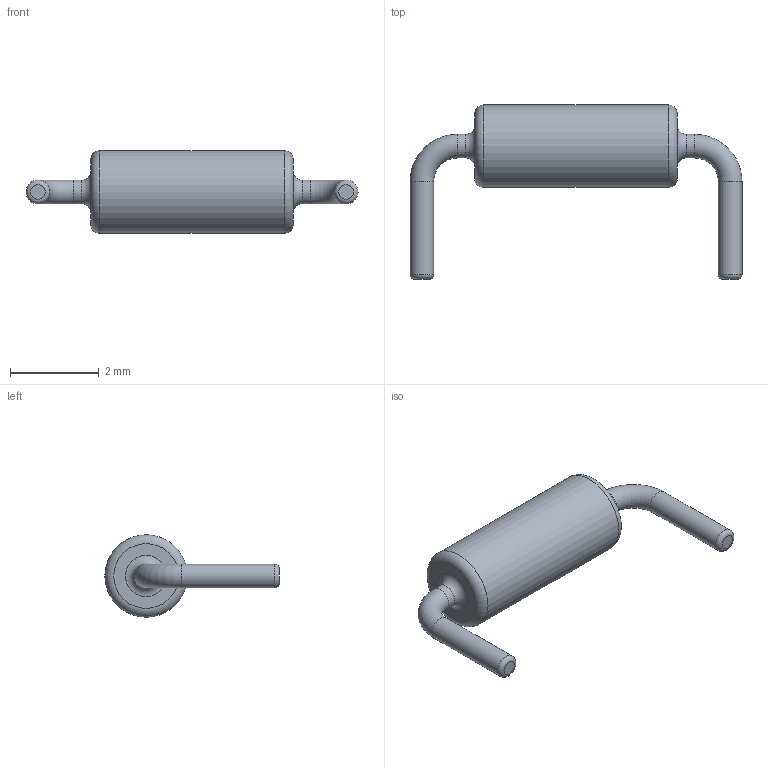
import cadquery as cq

body_length = 4.57
body_diameter = 1.86
body_edge_radius = 0.2

lead_diameter = 0.534
lead_span = 7.49
lead_bend_radius = 0.8
overall_depth = 3.93
lead_tip_radius = 0.1

collar_radius = 0.2

body_radius = body_diameter / 2
lead_radius = lead_diameter / 2
half_length = body_length / 2
lead_x = lead_span / 2 - lead_radius
lead_tip_y = body_radius - overall_depth
bend_start_x = lead_x - lead_bend_radius


def make_body():
    """Cylinder with rounded end edges."""
    cylinder = cq.Workplane("YZ", origin=(-half_length, 0, 0)).circle(body_radius).extrude(body_length)
    return cylinder.edges("%CIRCLE").fillet(body_edge_radius)


def make_collar():
    """Concave flare around the lead at the +X body end."""
    collar_tip_x = half_length + collar_radius
    flare_radius = lead_radius + collar_radius
    return (
        cq.Workplane("XY")
        .moveTo(half_length, 0)
        .lineTo(half_length, flare_radius)
        .radiusArc((collar_tip_x, lead_radius), -collar_radius)
        .lineTo(collar_tip_x, 0)
        .close()
        .revolve(360, (0, 0, 0), (1, 0, 0))
    )


def make_lead():
    """Bent wire at the +X end, from inside the body to a rounded tip."""
    path = (
        cq.Workplane("XY")
        .lineTo(bend_start_x, 0)
        .radiusArc((lead_x, -lead_bend_radius), lead_bend_radius)
        .lineTo(lead_x, lead_tip_y)
    )
    wire = cq.Workplane("YZ").circle(lead_radius).sweep(path)
    return wire.faces("<Y").edges().fillet(lead_tip_radius)


lead = make_lead().union(make_collar())
result = make_body().union(lead).union(lead.mirror("YZ"))